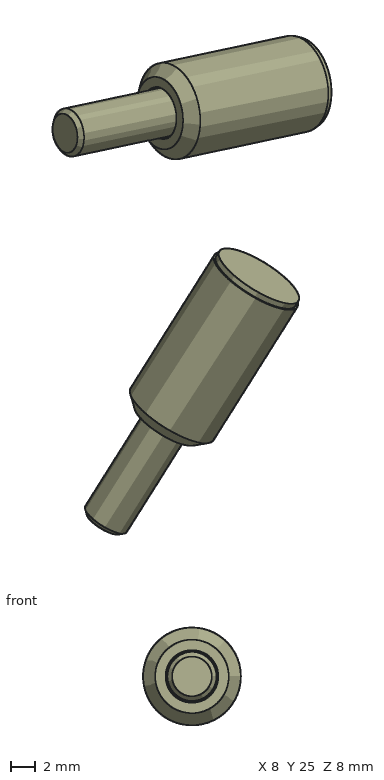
import cadquery as cq


housing_diameter = 8.0
housing_length = 15.0
nose_chamfer = 1.0
rear_step_diameter = 7.64
rear_step_length = 0.5

pin_diameter = 4.0
pin_projection = 10.0
pin_tip_chamfer = 0.38

bore_diameter = 4.1
bore_depth = 10.0
bore_mouth_diameter = 4.3
bore_mouth_depth = 1.0

overall_length = housing_length + pin_projection
rear_y = overall_length / 2
nose_y = rear_y - housing_length


def rod(diameter, start_y, length):
    """Cylinder on the Y axis that runs from start_y toward +Y."""
    base = cq.Workplane("XZ", origin=(0, start_y, 0))
    return base.circle(diameter / 2).extrude(-length)


def make_housing():
    """Chamfered barrel with a reduced rear end and a blind stepped bore in its nose."""
    barrel = rod(housing_diameter, nose_y, housing_length - rear_step_length)
    barrel = barrel.faces("<Y").chamfer(nose_chamfer)
    rear_step = rod(rear_step_diameter, rear_y - rear_step_length, rear_step_length)
    bore = rod(bore_diameter, nose_y, bore_depth)
    bore_mouth = rod(bore_mouth_diameter, nose_y, bore_mouth_depth)
    return barrel.union(rear_step).cut(bore).cut(bore_mouth)


def make_pin():
    """Straight pin from the bore floor to the chamfered tip."""
    shank = rod(pin_diameter, nose_y - pin_projection, pin_projection + bore_depth)
    return shank.faces("<Y").chamfer(pin_tip_chamfer)


housing = make_housing()
pin = make_pin()

result = cq.Compound.makeCompound([housing.val(), pin.val()])